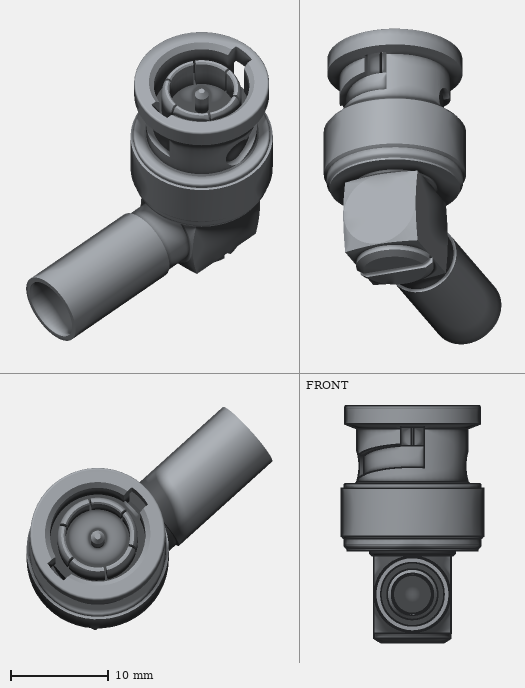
import cadquery as cq
import math


mating_face_z = 19.37
rim_radius = 6.95
edge_round = 0.23
rim_cone_start = 1.9
rim_cone_end = 2.37
neck_radius = 5.7
neck_flare = 0.17
collar_top_depth = 8.0
collar_step_radius = 7.02
collar_step_height = 0.48
collar_radius = 7.3
collar_chamfer_start = 13.4
collar_bottom_round_start = 14.25
collar_bottom_round = 0.4
collar_bottom_radius = 6.7
collar_bottom_depth = 14.92
bore_radius = 4.9
bore_bevel = 0.5
bore_depth = 4.12

notch_half_width = 1.2
notch_outer_radius = 6.0
track_floor_radius = 5.02
lock_hole_depth = 6.2
lock_hole_radius = 1.6
track_slope = 0.26
track_upper_rise = 0.8

contact_outer_radius = 4.12
contact_inner_radius = 3.33
contact_tip_outer_radius = 3.75
contact_tip_inner_radius = 3.5
contact_tip_depth = 0.87
contact_tip_round_height = 1.0
slit_count = 6
slit_width = 0.25
pin_radius = 0.7
pin_tip_radius = 0.3
pin_tip_depth = 1.38
pin_nose_height = 0.54

body_half_width = 3.98
body_front_y = -4.88
body_back_y = 4.5
body_cone_radius = 3.9
body_cone_slope = 0.35
flange_radius = 4.37
flange_chamfer = 0.23
cap_height = 1.0
cap_chamfer = 0.73
cap_chamfer_height = 0.45
cap_slot_width = 0.87

outlet_radius = 3.5
outlet_chamfer = 0.15
tube_start_y = -7.9
tube_end_y = -20.9
tube_radius = 3.78
tube_bore_radius = 3.25
post_radius = 2.6
post_tip_radius = 2.15
post_bore_radius = 1.97
post_end_y = -16.35
post_taper_length = 0.85

bore_floor_z = mating_face_z - bore_depth
collar_bottom_z = mating_face_z - collar_bottom_depth
lock_hole_z = mating_face_z - lock_hole_depth
cut_reach = 2 * collar_radius


def cylinder_z(radius, z_low, z_high):
    return cq.Workplane("XY").workplane(offset=z_low).circle(radius).extrude(z_high - z_low)


def cylinder_y(radius, y_back, y_front):
    """Cylinder on the cable axis, running from y_back toward -Y."""
    return cq.Workplane("XZ", origin=(0, y_back, 0)).circle(radius).extrude(y_back - y_front)


def block(x_range, y_range, z_range):
    lengths = [high - low for low, high in (x_range, y_range, z_range)]
    corner = (x_range[0], y_range[0], z_range[0])
    return cq.Workplane("XY").box(*lengths, centered=False).translate(corner)


def both_sides(shape):
    """The shape together with its copy turned half a turn about the mating axis."""
    return shape.union(shape.rotate((0, 0, 0), (0, 0, 1), 180))


def coupling_nut():
    step_z = mating_face_z - collar_top_depth
    collar_z = step_z - collar_step_height
    chamfer_z = mating_face_z - collar_chamfer_start
    round_start_z = mating_face_z - collar_bottom_round_start
    round_end_radius = collar_step_radius - collar_bottom_round * (1 - math.sqrt(0.5))
    round_end_z = round_start_z - collar_bottom_round * math.sqrt(0.5)
    round_middle = edge_round * (1 - math.sqrt(0.5))
    profile = (
        cq.Workplane("XZ")
        .moveTo(0, mating_face_z)
        .lineTo(rim_radius - edge_round, mating_face_z)
        .threePointArc(
            (rim_radius - round_middle, mating_face_z - round_middle),
            (rim_radius, mating_face_z - edge_round),
        )
        .lineTo(rim_radius, mating_face_z - rim_cone_start)
        .lineTo(neck_radius, mating_face_z - rim_cone_end)
        .lineTo(neck_radius, step_z + neck_flare)
        .lineTo(neck_radius + neck_flare, step_z)
        .lineTo(collar_step_radius - edge_round, step_z)
        .threePointArc(
            (collar_step_radius - round_middle, step_z - round_middle),
            (collar_step_radius, step_z - edge_round),
        )
        .lineTo(collar_step_radius, collar_z)
        .lineTo(collar_radius, collar_z)
        .lineTo(collar_radius, chamfer_z)
        .lineTo(collar_step_radius, chamfer_z - (collar_radius - collar_step_radius))
        .lineTo(collar_step_radius, round_start_z)
        .tangentArcPoint((round_end_radius, round_end_z), relative=False)
        .lineTo(collar_bottom_radius, round_end_z - (round_end_radius - collar_bottom_radius))
        .lineTo(collar_bottom_radius, collar_bottom_z)
        .lineTo(0, collar_bottom_z)
        .close()
    )
    nut = profile.revolve(360, (0, 0, 0), (0, 1, 0))
    bore = (
        cq.Workplane("XZ")
        .moveTo(0, mating_face_z)
        .lineTo(bore_radius + bore_bevel, mating_face_z)
        .lineTo(bore_radius, mating_face_z - bore_bevel)
        .lineTo(bore_radius, bore_floor_z)
        .lineTo(0, bore_floor_z)
        .close()
        .revolve(360, (0, 0, 0), (0, 1, 0))
    )
    return nut.cut(bore)


def bayonet_cuts():
    notch_x = (-notch_half_width, notch_half_width)
    notch = cylinder_z(notch_outer_radius, bore_floor_z, mating_face_z).intersect(
        block(notch_x, (-cut_reach, 0), (bore_floor_z, mating_face_z))
    )
    upper_z = lock_hole_z + track_upper_rise
    lower_z = lock_hole_z - lock_hole_radius
    rise = track_slope * cut_reach
    track = (
        cq.Workplane("YZ", origin=(-cut_reach, 0, 0))
        .polyline([(0, lower_z), (0, upper_z), (-cut_reach, upper_z + rise), (-cut_reach, lower_z + rise)])
        .close()
        .extrude(cut_reach + notch_half_width)
    )
    lock_hole = (
        cq.Workplane("YZ", origin=(-cut_reach, 0, 0))
        .center(0, lock_hole_z)
        .circle(lock_hole_radius)
        .extrude(cut_reach)
    )
    wall = cylinder_z(notch_outer_radius, collar_bottom_z, mating_face_z).cut(
        cylinder_z(track_floor_radius, collar_bottom_z, mating_face_z)
    )
    return both_sides(notch.union(track.union(lock_hole).intersect(wall)))


def outer_contact():
    tip_z = mating_face_z - contact_tip_depth
    lip_chamfer = contact_tip_inner_radius - contact_inner_radius
    contact = (
        cq.Workplane("XZ")
        .moveTo(contact_inner_radius, bore_floor_z)
        .lineTo(contact_outer_radius, bore_floor_z)
        .lineTo(contact_outer_radius, tip_z - contact_tip_round_height)
        .tangentArcPoint((contact_tip_outer_radius, tip_z), relative=False)
        .lineTo(contact_tip_inner_radius, tip_z)
        .lineTo(contact_inner_radius, tip_z - lip_chamfer)
        .close()
        .revolve(360, (0, 0, 0), (0, 1, 0))
    )
    half_slit = slit_width / 2
    slit = block((-half_slit, half_slit), (0, bore_radius), (bore_floor_z, mating_face_z))
    for index in range(slit_count):
        contact = contact.cut(slit.rotate((0, 0, 0), (0, 0, 1), index * 360 / slit_count))
    return contact


def centre_pin():
    tip_z = mating_face_z - pin_tip_depth
    return (
        cq.Workplane("XZ")
        .moveTo(0, bore_floor_z)
        .lineTo(pin_radius, bore_floor_z)
        .lineTo(pin_radius, tip_z - pin_nose_height)
        .lineTo(pin_tip_radius, tip_z)
        .lineTo(0, tip_z)
        .close()
        .revolve(360, (0, 0, 0), (0, 1, 0))
    )


def elbow_body():
    side = (-body_half_width, body_half_width)
    body = block(side, (body_front_y, body_back_y), side)
    corner_radius = 2 * body_half_width
    corner_drop = body_cone_slope * (corner_radius - body_cone_radius)
    cone_envelope = (
        cq.Workplane("XY")
        .moveTo(0, body_front_y)
        .lineTo(body_cone_radius, body_front_y)
        .lineTo(corner_radius, body_front_y + corner_drop)
        .lineTo(corner_radius, body_back_y - corner_drop)
        .lineTo(body_cone_radius, body_back_y)
        .lineTo(0, body_back_y)
        .close()
        .revolve(360, (0, 0, 0), (0, 1, 0))
    )
    flange = cylinder_z(flange_radius, body_half_width, collar_bottom_z).faces("<Z").chamfer(flange_chamfer)
    return body.intersect(cone_envelope).union(flange)


def bottom_cap():
    cap_low_z = -body_half_width - cap_height
    cap = cylinder_z(body_half_width, cap_low_z, -body_half_width)
    cap = cap.faces("<Z").chamfer(cap_chamfer_height, cap_chamfer)
    half_slot = cap_slot_width / 2
    slot = block((-cut_reach, cut_reach), (-half_slot, half_slot), (cap_low_z, -body_half_width))
    return cap.cut(slot)


def cable_outlet():
    outlet = cylinder_y(outlet_radius, body_front_y, tube_start_y).faces("<Y").chamfer(outlet_chamfer)
    tube = cylinder_y(tube_radius, tube_start_y, tube_end_y)
    tube = tube.cut(cylinder_y(tube_bore_radius, tube_start_y, tube_end_y))
    post_bore = cylinder_y(post_bore_radius, tube_start_y, post_end_y)
    lip_chamfer = post_tip_radius - post_bore_radius
    countersink = (
        cq.Workplane("XY")
        .moveTo(0, post_end_y)
        .lineTo(post_tip_radius, post_end_y)
        .lineTo(post_bore_radius, post_end_y + lip_chamfer)
        .lineTo(0, post_end_y + lip_chamfer)
        .close()
        .revolve(360, (0, 0, 0), (0, 1, 0))
    )
    post = (
        cq.Workplane("XY")
        .moveTo(0, tube_start_y)
        .lineTo(post_radius, tube_start_y)
        .lineTo(post_radius, post_end_y + post_taper_length)
        .lineTo(post_tip_radius, post_end_y)
        .lineTo(0, post_end_y)
        .close()
        .revolve(360, (0, 0, 0), (0, 1, 0))
        .cut(post_bore)
        .cut(countersink)
    )
    return outlet.union(tube).union(post)


result = (
    coupling_nut()
    .cut(bayonet_cuts())
    .union(outer_contact())
    .union(centre_pin())
    .union(elbow_body())
    .union(bottom_cap())
    .union(cable_outlet())
)